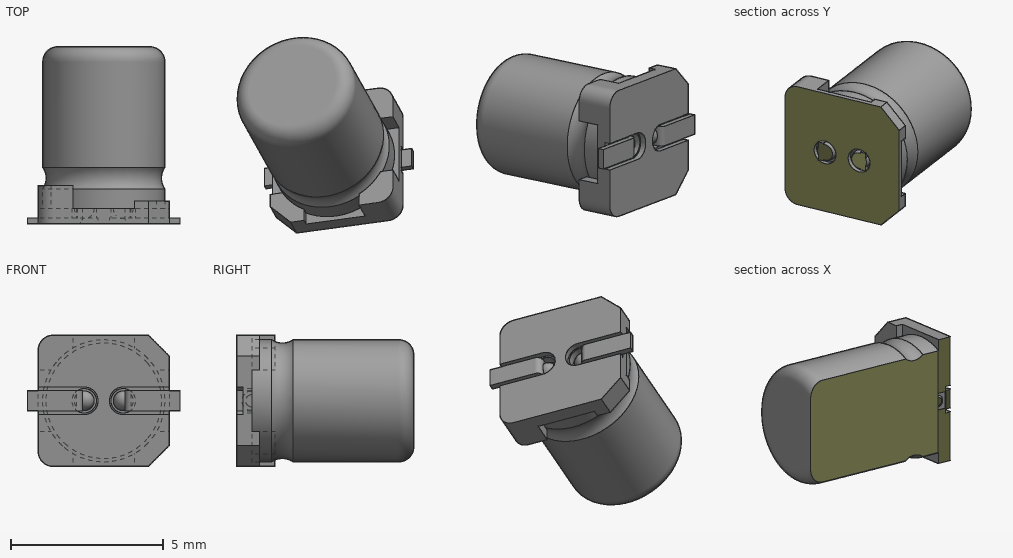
import cadquery as cq
import math

TOTAL_LENGTH = 5.8
CAN_RADIUS = 2.0
CAN_TOP_FILLET = 0.5
GROOVE_START = 1.15
GROOVE_END = 1.85
GROOVE_DEPTH = 0.11

BASE_WIDTH = 4.3
FLOOR_THICKNESS = 0.5
POST_GAP = 2.0
TALL_POST_TOP = 1.25
SHORT_POST_TOP = 0.75
CORNER_RADIUS = 0.5
CORNER_CHAMFER = 0.69
SLOT_RADIUS = 0.45
HOLE_RADIUS = 0.4
HOLE_OFFSET = 0.64

LEAD_SPAN = 5.0
LEAD_WIDTH = 0.66
LEAD_THICKNESS = 0.205
LEG_OFFSET = 0.69
BALL_RADIUS = 0.325

SIDES = (-1, 1)


def block(x_range, y_range, z_range):
    """Axis-aligned box between the given limits."""
    size = [end - start for start, end in (x_range, y_range, z_range)]
    return cq.Workplane("XY").box(*size, centered=False).translate((x_range[0], y_range[0], z_range[0]))


def cylinder(radius, y_start, y_end, x_center=0):
    """Cylinder along Y between two heights above the mounting face."""
    profile = cq.Workplane("XZ", origin=(x_center, y_start, 0)).circle(radius)
    return profile.extrude(y_start - y_end)


def make_can():
    """Round can with a rounded top and a crimped groove near the base."""
    groove_middle = (GROOVE_START + GROOVE_END) / 2
    fillet_center = (CAN_RADIUS - CAN_TOP_FILLET, TOTAL_LENGTH - CAN_TOP_FILLET)
    fillet_reach = CAN_TOP_FILLET * math.sqrt(0.5)
    fillet_middle = (fillet_center[0] + fillet_reach, fillet_center[1] + fillet_reach)
    return (
        cq.Workplane("XY")
        .moveTo(0, FLOOR_THICKNESS)
        .lineTo(CAN_RADIUS, FLOOR_THICKNESS)
        .lineTo(CAN_RADIUS, GROOVE_START)
        .threePointArc((CAN_RADIUS - GROOVE_DEPTH, groove_middle), (CAN_RADIUS, GROOVE_END))
        .lineTo(CAN_RADIUS, fillet_center[1])
        .threePointArc(fillet_middle, (fillet_center[0], TOTAL_LENGTH))
        .lineTo(0, TOTAL_LENGTH)
        .close()
        .revolve(360, (0, 0, 0), (0, 1, 0))
    )


def make_lead(side):
    """Flat strip bent up into a short leg that ends in a half ball under the can."""
    leg_inner = side * LEG_OFFSET
    leg_outer = side * (LEG_OFFSET + LEAD_THICKNESS)
    bend_reach = LEAD_THICKNESS * (1 - math.sqrt(0.5))
    strip = (
        cq.Workplane("XY", origin=(0, 0, -LEAD_WIDTH / 2))
        .moveTo(side * LEAD_SPAN / 2, 0)
        .lineTo(leg_outer, 0)
        .threePointArc((leg_inner + side * bend_reach, bend_reach), (leg_inner, LEAD_THICKNESS))
        .lineTo(leg_inner, FLOOR_THICKNESS)
        .lineTo(leg_outer, FLOOR_THICKNESS)
        .lineTo(leg_outer, LEAD_THICKNESS)
        .lineTo(side * LEAD_SPAN / 2, LEAD_THICKNESS)
        .close()
        .extrude(LEAD_WIDTH)
    )
    ball_center = (side * HOLE_OFFSET, FLOOR_THICKNESS, 0)
    ball = cq.Workplane("XY").sphere(BALL_RADIUS).translate(ball_center)
    under_can = cylinder(CAN_RADIUS, 0, FLOOR_THICKNESS)
    return strip.union(ball.intersect(under_can))


def make_base_blank():
    """Full-height block with two rounded and two chamfered corners."""
    half = BASE_WIDTH / 2
    blank = block((-half, half), (0, TALL_POST_TOP), (-half, half))
    blank = blank.edges("|Y and <X").fillet(CORNER_RADIUS)
    return blank.edges("|Y and >X").chamfer(CORNER_CHAMFER)


def cut_posts(base):
    """Lower the +X posts, open the gaps between posts and clear the can seat."""
    half = BASE_WIDTH / 2
    full = (-half, half)
    gap = (-POST_GAP / 2, POST_GAP / 2)
    above_floor = (FLOOR_THICKNESS, TALL_POST_TOP)
    base = base.cut(block((0, half), (SHORT_POST_TOP, TALL_POST_TOP), full))
    base = base.cut(block(gap, above_floor, full))
    base = base.cut(block(full, above_floor, gap))
    return base.cut(cylinder(CAN_RADIUS, *above_floor))


def cut_lead_openings(base, lead, side):
    """Open slot and round hole for one lead, with a pocket fitting its leg."""
    slot_ends = sorted((side * HOLE_OFFSET, side * BASE_WIDTH / 2))
    base = base.cut(block(slot_ends, (0, LEAD_THICKNESS), (-SLOT_RADIUS, SLOT_RADIUS)))
    base = base.cut(cylinder(SLOT_RADIUS, 0, LEAD_THICKNESS, side * HOLE_OFFSET))
    base = base.cut(cylinder(HOLE_RADIUS, 0, FLOOR_THICKNESS, side * HOLE_OFFSET))
    return base.cut(lead)


can = make_can()
base = cut_posts(make_base_blank())
leads = []
for side in SIDES:
    lead = make_lead(side)
    base = cut_lead_openings(base, lead, side)
    leads.append(lead.val())

result = cq.Compound.makeCompound([can.val(), base.val(), *leads])